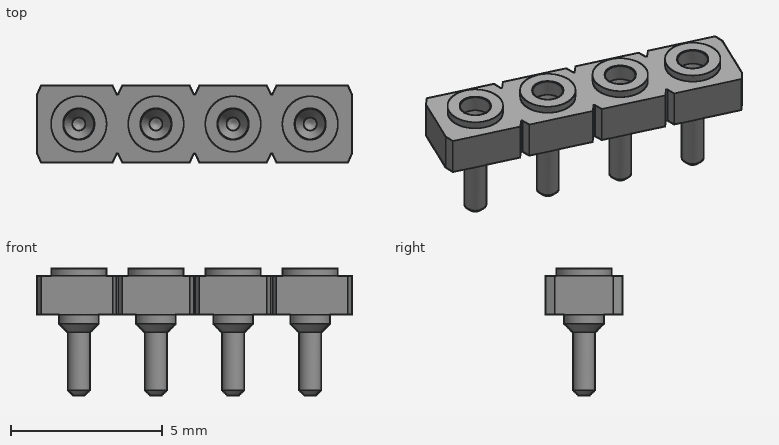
import cadquery as cq

pitch = 2.54
pin_count = 4
body_length = 10.39
body_width = 2.54
body_height = 1.27
corner_chamfer_x = 0.14
corner_chamfer_y = 0.31
notch_half_width = 0.16
notch_depth = 0.30
notch_root_radius = 0.03

flange_diameter = 1.83
flange_height = 0.25
shoulder_diameter = 1.32
shoulder_drop = 0.30
tail_diameter = 0.74
total_height = 4.19

socket_diameter = 1.0
socket_rim_chamfer = 0.02
socket_depth = 0.55
funnel_end_diameter = 0.43
funnel_height = 0.8
drill_point_height = 0.1

flange_top = body_height + flange_height
shoulder_bottom = -shoulder_drop
cone_bottom = shoulder_bottom - (shoulder_diameter - tail_diameter) / 2
tail_bottom = flange_top - total_height
tail_tip_chamfer = tail_diameter / 4
tail_tip_top = tail_bottom + tail_tip_chamfer
funnel_top = flange_top - socket_depth
funnel_bottom = funnel_top - funnel_height

pin_positions = [(i - (pin_count - 1) / 2) * pitch for i in range(pin_count)]
notch_positions = [x + pitch / 2 for x in pin_positions[:-1]]


def make_housing():
    """Insulator strip with cut corners, round-rooted V notches between positions and a hole for each pin."""
    half_length = body_length / 2
    half_width = body_width / 2
    end_x = half_length - corner_chamfer_x
    end_y = half_width - corner_chamfer_y
    strip = (
        cq.Workplane("XY")
        .polyline([
            (-half_length, -end_y),
            (-end_x, -half_width),
            (end_x, -half_width),
            (half_length, -end_y),
            (half_length, end_y),
            (end_x, half_width),
            (-end_x, half_width),
            (-half_length, end_y),
        ])
        .close()
        .extrude(body_height)
    )
    root_y = half_width - notch_depth
    root_start_y = root_y + notch_root_radius
    for x in notch_positions:
        for side in (-1, 1):
            notch = (
                cq.Workplane("XY")
                .moveTo(x - notch_half_width, side * half_width)
                .lineTo(x + notch_half_width, side * half_width)
                .lineTo(x + notch_root_radius, side * root_start_y)
                .threePointArc((x, side * root_y), (x - notch_root_radius, side * root_start_y))
                .close()
                .extrude(body_height)
            )
            strip = strip.cut(notch)
    pin_holes = (
        cq.Workplane("XY")
        .pushPoints([(x, 0) for x in pin_positions])
        .circle(shoulder_diameter / 2)
        .extrude(body_height)
    )
    return strip.cut(pin_holes)


def make_pin(x):
    """Turned socket pin: half section revolved about its vertical axis, then moved to x."""
    half_section = [
        (0, tail_bottom),
        (tail_diameter / 2 - tail_tip_chamfer, tail_bottom),
        (tail_diameter / 2, tail_tip_top),
        (tail_diameter / 2, cone_bottom),
        (shoulder_diameter / 2, shoulder_bottom),
        (shoulder_diameter / 2, body_height),
        (flange_diameter / 2, body_height),
        (flange_diameter / 2, flange_top),
        (socket_diameter / 2 + socket_rim_chamfer, flange_top),
        (socket_diameter / 2, flange_top - socket_rim_chamfer),
        (socket_diameter / 2, funnel_top),
        (funnel_end_diameter / 2, funnel_bottom),
        (0, funnel_bottom - drill_point_height),
    ]
    pin = cq.Workplane("XZ").polyline(half_section).close().revolve(360, (0, 0, 0), (0, 1, 0))
    return pin.translate((x, 0, 0))


housing = make_housing()
pins = [make_pin(x) for x in pin_positions]

result = cq.Compound.makeCompound([housing.val(), *[pin.val() for pin in pins]])